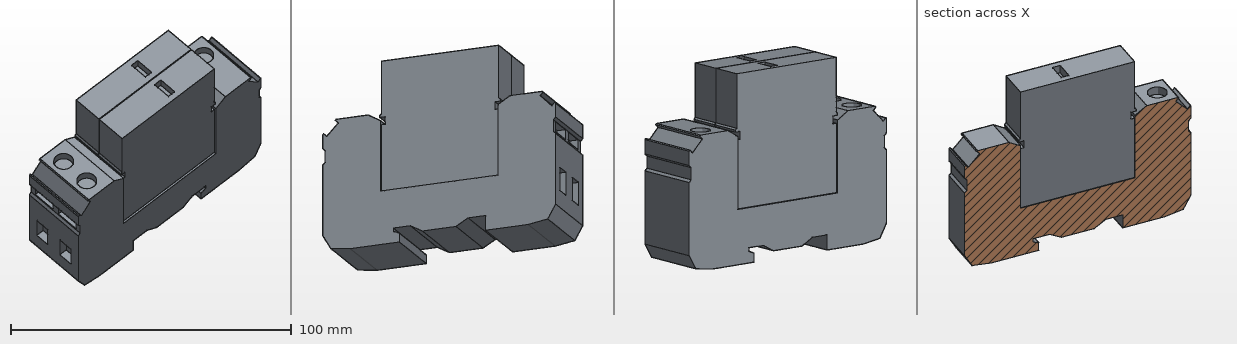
import cadquery as cq
import math

width = 25.4
length = 89.8
height = 69.5
half_length = length / 2

shoulder_height = 49.6
shoulder_inner_y = 27.3
slope_foot_height = 46.8
corner_chamfer = 5.2
label_recess = 1.6
label_lip = 0.5
groove_top = 39.15
groove_bottom = 33.0
groove_depth = 0.9
foot_flare_height = 6.3
foot_corner_y = 41.85
foot_corner_height = 1.1
foot_flat_y = 34.3

rail_seat_height = 5.6
rail_fixed_y = 17.9
rail_hook_y = 15.4
rail_undercut_y = 17.7
hook_tip_height = 3.3
hook_root_height = 4.4
bump_height = 3.0
bump_bottom_half = 6.5
bump_top_half = 11.1

side_inset = 0.8
module_gap = 0.3
plug_half_length = 22.6
plug_floor = 20.2
flange_reach = 0.6
flange_bottom = 48.3
flange_edge = 49.0
notch_depth = 1.4
notch_bottom = 45.4

pitch = 11.9
opening_depth = 3.1
screw_y = 34.4
screw_diameter = 7.1
marker_size = (7.2, 3.05)
marker_y = 3.9
window_size = (9.1, 3.7)
window_z = 36.3
wire_entry_size = (5.7, 8.7)
wire_entry_z = 17.1

column_xs = (-pitch / 2, pitch / 2)


def mirror_y(points):
    """Points reflected to the other end, in reverse order so the outline continues."""
    return [(-y, z) for y, z in reversed(points)]


def extrude_profile(points, thickness):
    """Solid from a (Y, Z) outline, centred on X."""
    return cq.Workplane("YZ").polyline(points).close().extrude(thickness / 2, both=True)


def base_housing():
    chamfer_top_y = half_length - corner_chamfer
    chamfer_foot_z = shoulder_height - corner_chamfer
    lip_shift = label_lip / math.sqrt(2)
    recess_shift = label_recess / math.sqrt(2)
    seat_top = (chamfer_top_y + lip_shift, shoulder_height - lip_shift)
    seat_foot = (half_length - lip_shift, chamfer_foot_z + lip_shift)
    groove_y = half_length - groove_depth
    end = [
        (foot_flat_y, 0),
        (foot_corner_y, foot_corner_height),
        (half_length, foot_flare_height),
        (half_length, groove_bottom),
        (groove_y, groove_bottom + groove_depth),
        (groove_y, groove_top - groove_depth),
        (half_length, groove_top),
        (half_length, chamfer_foot_z),
        seat_foot,
        (seat_foot[0] - recess_shift, seat_foot[1] - recess_shift),
        (seat_top[0] - recess_shift, seat_top[1] - recess_shift),
        seat_top,
        (chamfer_top_y, shoulder_height),
        (shoulder_inner_y, shoulder_height),
        (plug_half_length, slope_foot_height),
        (plug_half_length, plug_floor),
    ]
    rail_seat = [
        (-rail_fixed_y, 0),
        (-rail_fixed_y, rail_seat_height),
        (-bump_top_half, rail_seat_height),
        (-bump_bottom_half, bump_height),
        (bump_bottom_half, bump_height),
        (bump_top_half, rail_seat_height),
        (rail_undercut_y, rail_seat_height),
        (rail_undercut_y, hook_root_height),
        (rail_hook_y, hook_tip_height),
        (rail_hook_y, 0),
    ]
    return extrude_profile(end + mirror_y(end) + rail_seat, width)


def plug_modules():
    flange_y = plug_half_length + flange_reach
    notch_y = plug_half_length - notch_depth
    end = [
        (plug_half_length, plug_floor),
        (plug_half_length, notch_bottom),
        (notch_y, notch_bottom),
        (notch_y, flange_bottom),
        (flange_y, flange_bottom),
        (flange_y, flange_edge),
        (plug_half_length, flange_edge + flange_reach),
        (plug_half_length, height),
    ]
    block = extrude_profile(end + mirror_y(end), width - 2 * side_inset)
    slit = cq.Workplane("XY").box(module_gap, 2 * flange_y, height - plug_floor, centered=(True, True, False))
    return block.cut(slit.translate((0, 0, plug_floor)))


def screw_holes():
    positions = [(x, -screw_y) for x in column_xs] + [(column_xs[0], screw_y)]
    top = cq.Workplane("XY").workplane(offset=shoulder_height)
    return top.pushPoints(positions).circle(screw_diameter / 2).extrude(-opening_depth)


def marker_slots():
    top = cq.Workplane("XY").workplane(offset=height)
    return top.pushPoints([(x, marker_y) for x in column_xs]).rect(*marker_size).extrude(-opening_depth)


def end_face_pockets(size, centre_z, face_y):
    """Row of rectangular pockets sunk toward +Y from a face on the -Y end."""
    face = cq.Workplane("XZ", origin=(0, face_y, 0))
    return face.pushPoints([(x, centre_z) for x in column_xs]).rect(*size).extrude(-opening_depth)


result = (
    base_housing()
    .union(plug_modules())
    .cut(screw_holes())
    .cut(marker_slots())
    .cut(end_face_pockets(window_size, window_z, groove_depth - half_length))
    .cut(end_face_pockets(wire_entry_size, wire_entry_z, -half_length))
)